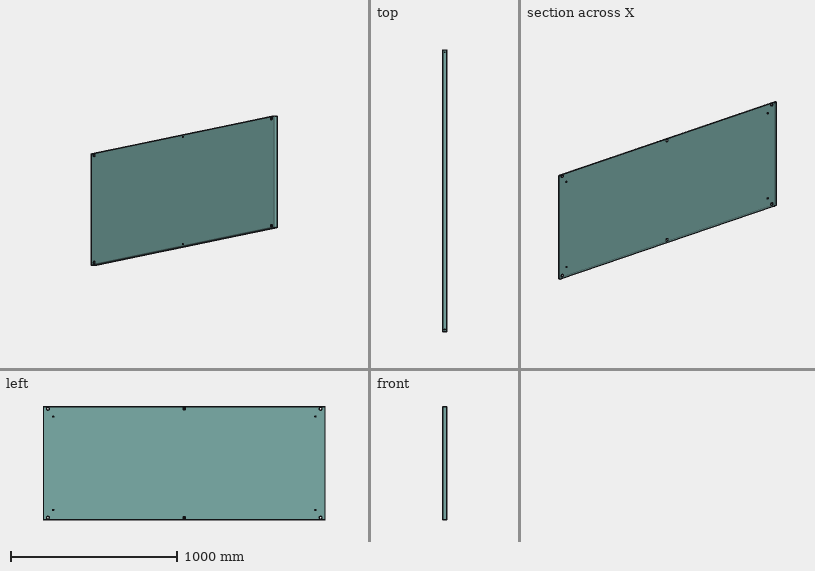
import cadquery as cq

THICKNESS = 25.0
LENGTH = 1696.0
HEIGHT = 682.0
SHEET = 2.0
OUTER_RADIUS = 3.0
INNER_RADIUS = OUTER_RADIUS - SHEET

ACCESS_DIAMETER = 16.0
ACCESS_EDGE_INSET = 13.5
CORNER_END_INSET = 28.0
SCREW_DIAMETER = 7.0
FACE_HOLE_INSET = 60.0

EDGE_HOLE_DIAMETER = 4.2
EDGE_HOLE_END_INSET = 15.0

FRONT_WALL_CUT = THICKNESS / 2


def rounded_box(thickness, length, height, radius):
    """Centred box with every edge rounded."""
    return cq.Workplane("XY").box(thickness, length, height).edges().fillet(radius)


def hollow_panel():
    """Closed shell of even wall thickness."""
    outside = rounded_box(THICKNESS, LENGTH, HEIGHT, OUTER_RADIUS)
    inside = rounded_box(
        THICKNESS - 2 * SHEET,
        LENGTH - 2 * SHEET,
        HEIGHT - 2 * SHEET,
        INNER_RADIUS,
    )
    return outside.cut(inside)


def mirrored_points(first, second):
    """The four points mirrored about both axes."""
    return [(a * first, b * second) for a in (-1, 1) for b in (-1, 1)]


def face_holes(points, diameter, depth):
    """Cylinders along X that start on the -X face; points are (Y, Z)."""
    plane = cq.Workplane("YZ", origin=(-THICKNESS / 2, 0, 0))
    return plane.pushPoints(points).circle(diameter / 2).extrude(depth)


def corner_holes():
    """Wide holes through both faces near the four corners."""
    points = mirrored_points(LENGTH / 2 - CORNER_END_INSET, HEIGHT / 2 - ACCESS_EDGE_INSET)
    return face_holes(points, ACCESS_DIAMETER, THICKNESS)


def middle_holes():
    """Wide access holes in the -X face, each with a screw hole behind it in the +X face."""
    points = [(0, side * (HEIGHT / 2 - ACCESS_EDGE_INSET)) for side in (-1, 1)]
    access = face_holes(points, ACCESS_DIAMETER, FRONT_WALL_CUT)
    screws = face_holes(points, SCREW_DIAMETER, THICKNESS)
    return access.union(screws)


def front_screw_holes():
    """Four screw holes in the -X face only."""
    points = mirrored_points(LENGTH / 2 - FACE_HOLE_INSET, HEIGHT / 2 - FACE_HOLE_INSET)
    return face_holes(points, SCREW_DIAMETER, FRONT_WALL_CUT)


def edge_holes():
    """Small holes in the top and bottom walls near both ends."""
    hole_y = LENGTH / 2 - EDGE_HOLE_END_INSET
    points = [(0, -hole_y), (0, hole_y)]
    plane = cq.Workplane("XY", origin=(0, 0, -HEIGHT / 2))
    return plane.pushPoints(points).circle(EDGE_HOLE_DIAMETER / 2).extrude(HEIGHT)


result = hollow_panel()
for holes in (corner_holes(), middle_holes(), front_screw_holes(), edge_holes()):
    result = result.cut(holes)